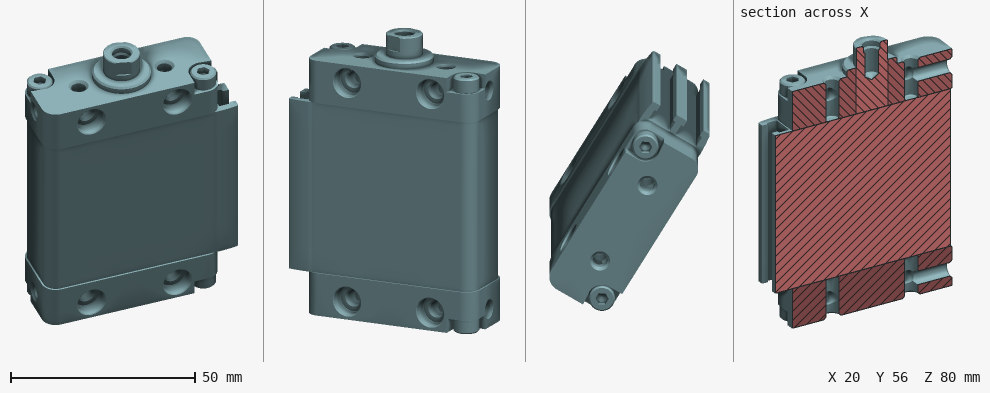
import cadquery as cq
import math

CAP_WIDTH = 20.0
CAP_FRONT_Y = -25.4
CAP_BACK_Y = 25.2
CAP_HEIGHT = 12.0
CAP_CORNER_RADIUS = 4.0
CAP_BACK_RADIUS = 3.6
BODY_HEIGHT = 72.0
ROD_TOP = 80.0
BARREL_HEIGHT = BODY_HEIGHT - 2 * CAP_HEIGHT
CAP_BASE_Z = BODY_HEIGHT - CAP_HEIGHT
DRILL_POINT_ANGLE = 118.0

BARREL_INSET = 0.5
BARREL_CORNER_RADIUS = CAP_CORNER_RADIUS - BARREL_INSET
RAIL_TOP_Y = 30.6
RAIL_FLOOR_Y = 25.5
LIP_BASE_Y = 28.7
BEND_START_Y = 23.2
BEND_END_Y = 24.2
WING_HALF_WIDTH = 9.6
WING_MID_HALF_WIDTH = 9.4
WING_TIP_HALF_WIDTH = 9.1
WING_TIP_ROUND = 0.6
WING_INNER_X = 7.5
WING_LIP_X = 6.8
RIB_HALF_WIDTH = 0.9
RIB_HEAD_HALF_WIDTH = 1.7
RIB_FOOT_BEVEL = 0.3

SCREW_X = CAP_WIDTH / 2 - CAP_CORNER_RADIUS
SCREW_Y = -CAP_FRONT_Y - CAP_CORNER_RADIUS
SCREW_HEAD_DIAMETER = 7.0
SCREW_HEAD_HEIGHT = 4.0
SCREW_HEAD_CHAMFER = 0.4
SCREW_HEAD_BASE_CHAMFER = 0.2
SOCKET_FLATS = 3.2
SOCKET_DRILL_DIAMETER = 3.0
SOCKET_DEPTH = 2.0
NOTCH_RADIUS = 4.0
NOTCH_TAPER = 0.4

HOLE_DIAMETER = 4.0
HOLE_MOUTH_DIAMETER = 5.4
HOLE_PITCH = 25.0
HOLE_DEPTH_FROM_TOP = 5.1
TAPPED_DEPTH = 11.8
COUNTERBORE_DIAMETER = 8.0
COUNTERBORE_DEPTH = 4.0
COUNTERBORE_MOUTH_DIAMETER = 8.5
COUNTERBORE_FLOOR_DIAMETER = 7.5
CROSS_HOLE_MOUTH_DIAMETER = 5.0

BOSS_DIAMETER = 16.0
BOSS_HEIGHT = 2.0
BOSS_CHAMFER = 0.5
ROD_DIAMETER = 10.0
ROD_CHAMFER = 0.2
ROD_FLATS = 9.0
ROD_FLAT_LENGTH = 4.1
ROD_FLAT_ANGLE = 165.0
ROD_HOLE_MOUTH_DIAMETER = 6.0
ROD_RECESS_DIAMETER = 5.1
ROD_RECESS_DEPTH = 2.0
ROD_HOLE_DIAMETER = 4.2
ROD_HOLE_DEPTH = 9.6


def cone_height(diameter):
    """Height of the drill point left at the end of a hole."""
    return diameter / 2 / math.tan(math.radians(DRILL_POINT_ANGLE / 2))


def drilled_hole(steps):
    """Stepped round cutter from (diameter, depth) pairs, opening at Z = 0 and running down."""
    profile = cq.Workplane("XZ").moveTo(0, 0)
    for diameter, depth in steps:
        profile = profile.lineTo(diameter / 2, -depth)
    return profile.close().revolve(360, (0, 0, 0), (0, 1, 0))


def chamfered_mouth(mouth_diameter, diameter):
    """First steps of a hole with a 45 degree chamfer at its mouth."""
    return [(mouth_diameter, 0), (diameter, (mouth_diameter - diameter) / 2)]


def make_barrel():
    half_width = CAP_WIDTH / 2 - BARREL_INSET
    base_y = CAP_FRONT_Y + BARREL_INSET
    radius = BARREL_CORNER_RADIUS
    arc_mid = radius * (1 - math.sqrt(0.5))
    wing_round_mid = WING_TIP_ROUND * (1 - math.sqrt(0.5))

    half = (
        cq.Workplane("XY")
        .moveTo(0, base_y)
        .lineTo(half_width - radius, base_y)
        .threePointArc((half_width - arc_mid, base_y + arc_mid), (half_width, base_y + radius))
        .lineTo(half_width, BEND_START_Y)
        .lineTo(WING_HALF_WIDTH, BEND_END_Y)
        .threePointArc(
            (WING_MID_HALF_WIDTH, (BEND_END_Y + RAIL_TOP_Y) / 2),
            (WING_TIP_HALF_WIDTH, RAIL_TOP_Y - WING_TIP_ROUND),
        )
        .threePointArc(
            (WING_TIP_HALF_WIDTH - wing_round_mid, RAIL_TOP_Y - wing_round_mid),
            (WING_TIP_HALF_WIDTH - WING_TIP_ROUND, RAIL_TOP_Y),
        )
        .lineTo(WING_LIP_X, RAIL_TOP_Y)
        .lineTo(WING_LIP_X, LIP_BASE_Y)
        .lineTo(WING_INNER_X, LIP_BASE_Y)
        .lineTo(WING_INNER_X, RAIL_FLOOR_Y)
        .lineTo(RIB_HALF_WIDTH + RIB_FOOT_BEVEL, RAIL_FLOOR_Y)
        .lineTo(RIB_HALF_WIDTH, RAIL_FLOOR_Y + RIB_FOOT_BEVEL)
        .lineTo(RIB_HALF_WIDTH, LIP_BASE_Y)
        .lineTo(RIB_HEAD_HALF_WIDTH, LIP_BASE_Y)
        .lineTo(RIB_HEAD_HALF_WIDTH, RAIL_TOP_Y)
        .lineTo(0, RAIL_TOP_Y)
        .close()
        .extrude(BARREL_HEIGHT)
        .translate((0, 0, CAP_HEIGHT))
    )
    return half.union(half.mirror("YZ")).clean()


def make_screw_notch():
    """Open corner pocket round a screw axis at the origin, leaving towards +X and +Y."""
    reach = 2 * CAP_CORNER_RADIUS
    arc_mid = NOTCH_RADIUS * math.sqrt(0.5)
    return (
        cq.Workplane("XY")
        .moveTo(0, -NOTCH_RADIUS)
        .threePointArc((-arc_mid, -arc_mid), (-NOTCH_RADIUS, 0))
        .lineTo(-NOTCH_RADIUS + NOTCH_TAPER, CAP_CORNER_RADIUS)
        .lineTo(-NOTCH_RADIUS + NOTCH_TAPER, reach)
        .lineTo(reach, reach)
        .lineTo(reach, -NOTCH_RADIUS)
        .close()
        .extrude(SCREW_HEAD_HEIGHT)
    )


def make_screw_head():
    """Socket head standing on Z = 0, with a hexagon socket that has corners on the Y axis."""
    head = cq.Workplane("XY").circle(SCREW_HEAD_DIAMETER / 2).extrude(SCREW_HEAD_HEIGHT)
    head = head.faces(">Z").chamfer(SCREW_HEAD_CHAMFER)
    head = head.faces("<Z").chamfer(SCREW_HEAD_BASE_CHAMFER)
    socket_corners = SOCKET_FLATS / math.cos(math.radians(30))
    socket = (
        cq.Workplane("XY")
        .polygon(6, socket_corners)
        .extrude(SOCKET_DEPTH)
        .rotate((0, 0, 0), (0, 0, 1), 90)
        .translate((0, 0, SCREW_HEAD_HEIGHT - SOCKET_DEPTH))
    )
    point = drilled_hole([(SOCKET_DRILL_DIAMETER, 0), (0, cone_height(SOCKET_DRILL_DIAMETER))])
    point = point.translate((0, 0, SCREW_HEAD_HEIGHT - SOCKET_DEPTH))
    return head.cut(socket).cut(point)


def add_screws(cap):
    notch = make_screw_notch()
    head = make_screw_head()
    floor_z = BODY_HEIGHT - SCREW_HEAD_HEIGHT
    for side, turn in ((1, 0), (-1, 180)):
        place = (side * SCREW_X, side * SCREW_Y, floor_z)
        cap = cap.cut(notch.rotate((0, 0, 0), (0, 0, 1), turn).translate(place))
        cap = cap.union(head.translate(place))
    return cap


def cut_tapped_holes(cap):
    """Two holes in the end face; their drill points break through into the barrel face."""
    steps = chamfered_mouth(HOLE_MOUTH_DIAMETER, HOLE_DIAMETER)
    steps += [(HOLE_DIAMETER, TAPPED_DEPTH), (0, TAPPED_DEPTH + cone_height(HOLE_DIAMETER))]
    hole = drilled_hole(steps)
    for side in (-1, 1):
        cap = cap.cut(hole.translate((0, side * HOLE_PITCH / 2, BODY_HEIGHT)))
    return cap


def cut_cross_holes(cap):
    """Two through holes along X, counterbored from both sides."""
    steps = chamfered_mouth(COUNTERBORE_MOUTH_DIAMETER, COUNTERBORE_DIAMETER)
    floor_bevel = (COUNTERBORE_DIAMETER - COUNTERBORE_FLOOR_DIAMETER) / 2
    steps += [(COUNTERBORE_DIAMETER, COUNTERBORE_DEPTH - floor_bevel)]
    steps += [(COUNTERBORE_FLOOR_DIAMETER, COUNTERBORE_DEPTH)]
    for diameter, depth in chamfered_mouth(CROSS_HOLE_MOUTH_DIAMETER, HOLE_DIAMETER):
        steps.append((diameter, COUNTERBORE_DEPTH + depth))
    steps += [(HOLE_DIAMETER, CAP_WIDTH / 2), (0, CAP_WIDTH / 2)]
    half_hole = drilled_hole(steps)
    level = BODY_HEIGHT - HOLE_DEPTH_FROM_TOP
    for side in (-1, 1):
        for turn in (-90, 90):
            cutter = half_hole.translate((0, 0, CAP_WIDTH / 2)).rotate((0, 0, 0), (0, 1, 0), turn)
            cap = cap.cut(cutter.translate((0, side * HOLE_PITCH / 2, level)))
    return cap


def cut_port(cap):
    """Port in the -Y face, running in to the nearest cross hole."""
    depth = -CAP_FRONT_Y - HOLE_PITCH / 2
    steps = chamfered_mouth(HOLE_MOUTH_DIAMETER, HOLE_DIAMETER)
    steps += [(HOLE_DIAMETER, depth), (0, depth)]
    port = drilled_hole(steps).rotate((0, 0, 0), (1, 0, 0), 90)
    return cap.cut(port.translate((0, CAP_FRONT_Y, BODY_HEIGHT - HOLE_DEPTH_FROM_TOP)))


def make_cap():
    """Cap at the rod end, without the boss and the rod bore."""
    cap = (
        cq.Workplane("XY")
        .box(CAP_WIDTH, CAP_BACK_Y - CAP_FRONT_Y, CAP_HEIGHT, centered=(True, False, False))
        .translate((0, CAP_FRONT_Y, CAP_BASE_Z))
        .edges("|Z and <Y")
        .fillet(CAP_CORNER_RADIUS)
        .edges("|Z and >Y")
        .fillet(CAP_BACK_RADIUS)
    )
    cap = cut_tapped_holes(cap)
    cap = cut_cross_holes(cap)
    cap = cut_port(cap)
    return add_screws(cap)


def make_bearing_cap():
    """Rod-end cap with the guide boss and the bore for the piston rod."""
    boss = cq.Workplane("XY").circle(BOSS_DIAMETER / 2).extrude(BOSS_HEIGHT)
    boss = boss.faces(">Z").chamfer(BOSS_CHAMFER).translate((0, 0, BODY_HEIGHT))
    bore = cq.Workplane("XY").circle(ROD_DIAMETER / 2).extrude(CAP_HEIGHT + BOSS_HEIGHT)
    return make_cap().union(boss).cut(bore.translate((0, 0, CAP_BASE_Z)))


def make_end_cap():
    """Closed cap at the far end, the mirror image of the plain rod-end cap."""
    return make_cap().mirror("XY").translate((0, 0, BODY_HEIGHT))


def make_piston_rod():
    """Rod standing on the barrel face, with two wrench flats and a stepped hole in its end."""
    rod = cq.Workplane("XY").circle(ROD_DIAMETER / 2).extrude(ROD_TOP - CAP_BASE_Z)
    rod = rod.faces(">Z").chamfer(ROD_CHAMFER).translate((0, 0, CAP_BASE_Z))

    for turn in (ROD_FLAT_ANGLE, ROD_FLAT_ANGLE + 180):
        flat = (
            cq.Workplane("XY")
            .box(ROD_DIAMETER, ROD_DIAMETER, ROD_FLAT_LENGTH, centered=(False, True, False))
            .translate((ROD_FLATS / 2, 0, ROD_TOP - ROD_FLAT_LENGTH))
            .rotate((0, 0, 0), (0, 0, 1), turn)
        )
        rod = rod.cut(flat)

    steps = chamfered_mouth(ROD_HOLE_MOUTH_DIAMETER, ROD_RECESS_DIAMETER)
    for diameter, depth in chamfered_mouth(ROD_RECESS_DIAMETER, ROD_HOLE_DIAMETER):
        steps.append((diameter, ROD_RECESS_DEPTH + depth))
    steps += [(ROD_HOLE_DIAMETER, ROD_HOLE_DEPTH)]
    steps += [(0, ROD_HOLE_DEPTH + cone_height(ROD_HOLE_DIAMETER))]
    return rod.cut(drilled_hole(steps).translate((0, 0, ROD_TOP)))


barrel = make_barrel()
bearing_cap = make_bearing_cap()
end_cap = make_end_cap()
piston_rod = make_piston_rod()

result = cq.Compound.makeCompound(
    [barrel.val(), bearing_cap.val(), end_cap.val(), piston_rod.val()]
)